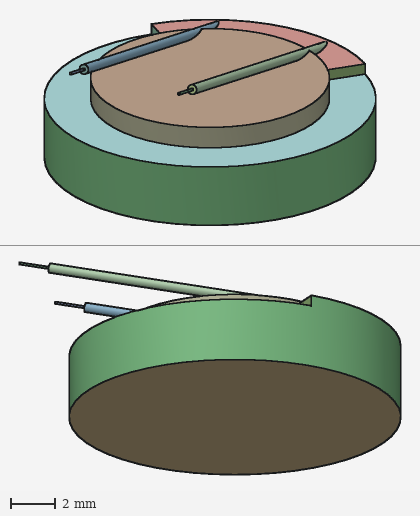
import cadquery as cq
import math

body_diameter = 15.0
disc_diameter = 10.8
rim_height = 2.9
layer_step = 0.5
raised_height = rim_height + layer_step
disc_height = raised_height + layer_step

sector_angle = 90.0

overall_height = 7.55
overall_depth = 16.87
lead_spacing = 5.36
lead_slope = 15.0
lead_length = 16.7
bare_length = 1.5
sleeve_diameter = 0.44
core_diameter = 0.11

body_radius = body_diameter / 2
slope = math.radians(lead_slope)
lead_direction = cq.Vector(0, -math.cos(slope), math.sin(slope))

core_radius = core_diameter / 2
tip_y = body_radius - overall_depth + core_radius * math.sin(slope)
tip_z = overall_height - core_radius * math.cos(slope)


def make_body():
    """Base cylinder with the central disc standing above its rim."""
    base = cq.Workplane("XY").circle(body_radius).extrude(rim_height)
    disc = cq.Workplane("XY").circle(disc_diameter / 2).extrude(disc_height)
    return base.union(disc)


def make_raised_sector():
    """Pie-shaped block that lifts the rear part of the rim."""
    half_angle = math.radians(sector_angle / 2)
    side_x = body_radius * math.sin(half_angle)
    side_y = body_radius * math.cos(half_angle)
    return (
        cq.Workplane("XY")
        .lineTo(side_x, side_y)
        .threePointArc((0, body_radius), (-side_x, side_y))
        .close()
        .extrude(raised_height)
    )


def make_lead(x):
    """Lead rooted inside the raised sector and rising toward -Y."""
    root = cq.Vector(x, tip_y, tip_z) - lead_direction * lead_length
    plane = cq.Plane(origin=root.toTuple(), xDir=(1, 0, 0), normal=lead_direction.toTuple())
    core = cq.Workplane(plane).circle(core_radius).extrude(lead_length)
    sleeve = cq.Workplane(plane).circle(sleeve_diameter / 2).extrude(lead_length - bare_length)
    return sleeve.union(core)


result = make_body().union(make_raised_sector())
for side in (-1, 1):
    result = result.union(make_lead(side * lead_spacing / 2))